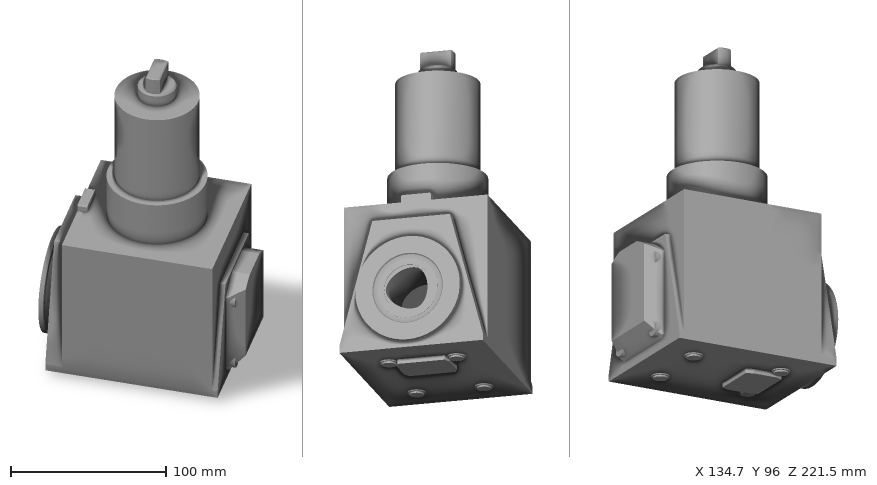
import cadquery as cq
import math

WIDTH = 96.0
BLOCK_LEFT = -50.5
BLOCK_RIGHT = 49.8
BLOCK_TOP = 102.0
FOOT_HEIGHT = 4.9

FRONT_PLATE_LEFT = -61.5
FRONT_PLATE_TOP = 87.5
FRONT_PLATE_TOP_WIDTH = 52.0
REAR_PLATE_RIGHT = 53.4
REAR_PLATE_TOP = 77.0
REAR_PLATE_TOP_WIDTH = 57.3

KEY_LENGTH = 20.0
KEY_THICKNESS = 6.6
KEY_HEIGHT = 4.9
KEY_CHAMFER = 0.7

COLLAR = (65.0, 133.3)
BARREL = (55.0, 197.5)
HUB = (25.0, 206.5)
TANG_DIAMETER = 22.8
HUB_CHAMFER = (HUB[0] - TANG_DIAMETER) / 2
TANG_THICKNESS = 9.5
TANG_TOP = 218.3
TANG_CHAMFER = 0.7

SPINDLE_Z = 37.2
NECK_DIAMETER = 61.0
FLANGE_DIAMETER = 70.0
FLANGE_LEFT = -69.7
FLANGE_THICKNESS = 3.0
RECESS_RIM_DIAMETER = 47.2
RECESS_DIAMETER = 46.0
RECESS_DEPTH = 0.9
NOSE_DIAMETER = 40.0
NOSE_HEIGHT = 0.2
MOUTH_DIAMETER = 31.7
MOUTH_DEPTH = 0.5
SOCKET_MOUTH_RADIUS = 14.0
SOCKET_FLOOR_RADIUS = 13.3
SOCKET_ECCENTRICITY = 0.9
SOCKET_DEPTH = 35.5
SOCKET_CURVE_POINTS = 24

COVER_RIGHT = 65.0
COVER_RADIUS = 39.9
COVER_TOP = 75.3
COVER_BASE_THICKNESS = 1.3
COVER_BASE_HALF_WIDTH = 28.0
COVER_END_HALF_WIDTH = 22.1
COVER_BASE_BOTTOM = 6.2
COVER_END_BOTTOM = 17.7
COVER_SCREW_DIAMETER = 9.5
COVER_SCREW_TOP = 59.3
COVER_SCREW_Y = 22.5
COVER_SCREW_OFFSET_Z = 24.1

FOOT_SCREW_X = (-34.5, 29.2)
FOOT_SCREW_Y = 22.5
FOOT_SCREW_DIAMETER = 9.5
FOOT_SCREW_RIM_DIAMETER = 12.0
FOOT_SCREW_RIM_HEIGHT = 0.9
FOOT_SCREW_HEIGHT = 2.0
PAD_HEIGHT = 221.5 - TANG_TOP
PAD_LEFT = -38.5
PAD_RIGHT = -12.5
PAD_WIDTH = 35.5
PAD_CORNER_X = 4.6
PAD_CORNER_Y = 2.0


def box(x_range, y_range, z_range):
    """Box between pairs of limits on each axis."""
    sizes = [high - low for low, high in (x_range, y_range, z_range)]
    corner = (x_range[0], y_range[0], z_range[0])
    return cq.Workplane("XY").box(*sizes, centered=False).translate(corner)


def side_plane(x):
    """YZ plane at x whose origin is on the spindle axis."""
    return cq.Workplane("YZ", origin=(x, 0, SPINDLE_Z))


def disc_x(diameter, x_start, x_end):
    """Disc on the spindle axis."""
    return side_plane(x_start).circle(diameter / 2).extrude(x_end - x_start)


def end_plate(x_start, x_end, top_width, top):
    """Plate that is full width at the foot and narrows to its top edge."""
    outline = [
        (-WIDTH / 2, 0),
        (WIDTH / 2, 0),
        (WIDTH / 2, FOOT_HEIGHT),
        (top_width / 2, top),
        (-top_width / 2, top),
        (-WIDTH / 2, FOOT_HEIGHT),
    ]
    return cq.Workplane("YZ", origin=(x_start, 0, 0)).polyline(outline).close().extrude(x_end - x_start)


def key():
    """Locating key with bevelled ends."""
    block = box(
        (BLOCK_LEFT, BLOCK_LEFT + KEY_THICKNESS),
        (-KEY_LENGTH / 2, KEY_LENGTH / 2),
        (BLOCK_TOP, BLOCK_TOP + KEY_HEIGHT),
    )
    return block.faces(">Z").edges("|X").chamfer(KEY_CHAMFER)


def upright_shaft():
    """Stepped round shaft ending in a flat drive tang."""
    shaft = cq.Workplane("XY")
    base = BLOCK_TOP
    for diameter, top in (COLLAR, BARREL, HUB):
        step = cq.Workplane("XY", origin=(0, 0, base)).circle(diameter / 2).extrude(top - base)
        shaft = shaft.union(step)
        base = top
    shaft = shaft.faces(">Z").edges().chamfer(HUB_CHAMFER)

    half_thickness = TANG_THICKNESS / 2
    half_length = TANG_DIAMETER / 2
    tang = cq.Workplane("XY", origin=(0, 0, base)).circle(half_length).extrude(TANG_TOP - base)
    flats = box((-half_thickness, half_thickness), (-half_length, half_length), (base, TANG_TOP))
    tang = tang.intersect(flats).faces(">Z").edges().chamfer(TANG_CHAMFER)
    return shaft.union(tang)


def socket_outline(plane, mean_radius):
    """Three-lobed socket outline with one lobe toward +Y."""
    e = SOCKET_ECCENTRICITY

    def point(angle):
        y = -mean_radius * math.cos(angle) + 2 * e * math.cos(2 * angle) - e * math.cos(4 * angle)
        z = mean_radius * math.sin(angle) + 2 * e * math.sin(2 * angle) + e * math.sin(4 * angle)
        return y, z

    step = 2 * math.pi / SOCKET_CURVE_POINTS
    points = [point(i * step) for i in range(SOCKET_CURVE_POINTS)]
    return plane.spline(points, periodic=True).close()


def spindle_flange():
    """Round flange on a smaller neck."""
    flange_right = FLANGE_LEFT + FLANGE_THICKNESS
    flange = disc_x(FLANGE_DIAMETER, FLANGE_LEFT, flange_right)
    return flange.union(disc_x(NECK_DIAMETER, flange_right, FRONT_PLATE_LEFT))


def cut_spindle_socket(body):
    """Conical-walled recess, slightly raised nose ring and tapered three-lobed socket."""
    recess_floor = FLANGE_LEFT + RECESS_DEPTH
    recess = (
        side_plane(FLANGE_LEFT)
        .circle(RECESS_RIM_DIAMETER / 2)
        .workplane(offset=RECESS_DEPTH)
        .circle(RECESS_DIAMETER / 2)
        .loft(ruled=True)
    )
    nose_face = recess_floor - NOSE_HEIGHT
    nose = disc_x(NOSE_DIAMETER, nose_face, recess_floor)
    mouth = disc_x(MOUTH_DIAMETER, nose_face, nose_face + MOUTH_DEPTH)
    socket = socket_outline(side_plane(nose_face), SOCKET_MOUTH_RADIUS)
    socket = socket_outline(socket.workplane(offset=SOCKET_DEPTH), SOCKET_FLOOR_RADIUS).loft(ruled=True)
    return body.cut(recess).union(nose).cut(mouth).cut(socket)


def rear_cover():
    """Round cover with a flat top, sloping sides and a sloping underside."""
    base = REAR_PLATE_RIGHT
    slope_start = base + COVER_BASE_THICKNESS
    plan = [
        (base, -COVER_BASE_HALF_WIDTH),
        (slope_start, -COVER_BASE_HALF_WIDTH),
        (COVER_RIGHT, -COVER_END_HALF_WIDTH),
        (COVER_RIGHT, COVER_END_HALF_WIDTH),
        (slope_start, COVER_BASE_HALF_WIDTH),
        (base, COVER_BASE_HALF_WIDTH),
    ]
    profile = [
        (base, COVER_BASE_BOTTOM),
        (COVER_RIGHT, COVER_END_BOTTOM),
        (COVER_RIGHT, COVER_TOP),
        (base, COVER_TOP),
    ]
    sides = cq.Workplane("XY").polyline(plan).close().extrude(COVER_TOP)
    outline = cq.Workplane("XZ").polyline(profile).close().extrude(WIDTH / 2, both=True)
    cover = disc_x(2 * COVER_RADIUS, base, COVER_RIGHT).intersect(sides).intersect(outline)

    screws = (
        side_plane(base)
        .rarray(2 * COVER_SCREW_Y, 2 * COVER_SCREW_OFFSET_Z, 2, 2)
        .circle(COVER_SCREW_DIAMETER / 2)
        .extrude(COVER_SCREW_TOP - base)
    )
    return cover.union(screws)


def foot_screw(x, y):
    """Screw head below the block with a wider rim at its root."""
    profile = [
        (0, 0),
        (FOOT_SCREW_RIM_DIAMETER / 2, 0),
        (FOOT_SCREW_RIM_DIAMETER / 2, -FOOT_SCREW_RIM_HEIGHT),
        (FOOT_SCREW_DIAMETER / 2, -FOOT_SCREW_RIM_HEIGHT),
        (FOOT_SCREW_DIAMETER / 2, -FOOT_SCREW_HEIGHT),
        (0, -FOOT_SCREW_HEIGHT),
    ]
    head = cq.Workplane("XZ").polyline(profile).close().revolve(360, (0, 0), (0, 1))
    return head.translate((x, y, 0))


def foot_pad():
    """Rectangular pad under the block with cut corners."""
    half = PAD_WIDTH / 2
    outline = [
        (PAD_LEFT, half - PAD_CORNER_Y),
        (PAD_LEFT + PAD_CORNER_X, half),
        (PAD_RIGHT - PAD_CORNER_X, half),
        (PAD_RIGHT, half - PAD_CORNER_Y),
        (PAD_RIGHT, PAD_CORNER_Y - half),
        (PAD_RIGHT - PAD_CORNER_X, -half),
        (PAD_LEFT + PAD_CORNER_X, -half),
        (PAD_LEFT, PAD_CORNER_Y - half),
    ]
    return cq.Workplane("XY").polyline(outline).close().extrude(-PAD_HEIGHT)


body = box((BLOCK_LEFT, BLOCK_RIGHT), (-WIDTH / 2, WIDTH / 2), (0, BLOCK_TOP))
body = body.union(end_plate(FRONT_PLATE_LEFT, BLOCK_LEFT, FRONT_PLATE_TOP_WIDTH, FRONT_PLATE_TOP))
body = body.union(end_plate(BLOCK_RIGHT, REAR_PLATE_RIGHT, REAR_PLATE_TOP_WIDTH, REAR_PLATE_TOP))
body = body.union(key())
body = body.union(upright_shaft())
body = body.union(spindle_flange())
body = cut_spindle_socket(body)
body = body.union(rear_cover())
body = body.union(foot_pad())
for screw_x in FOOT_SCREW_X:
    for screw_y in (-FOOT_SCREW_Y, FOOT_SCREW_Y):
        body = body.union(foot_screw(screw_x, screw_y))

result = body